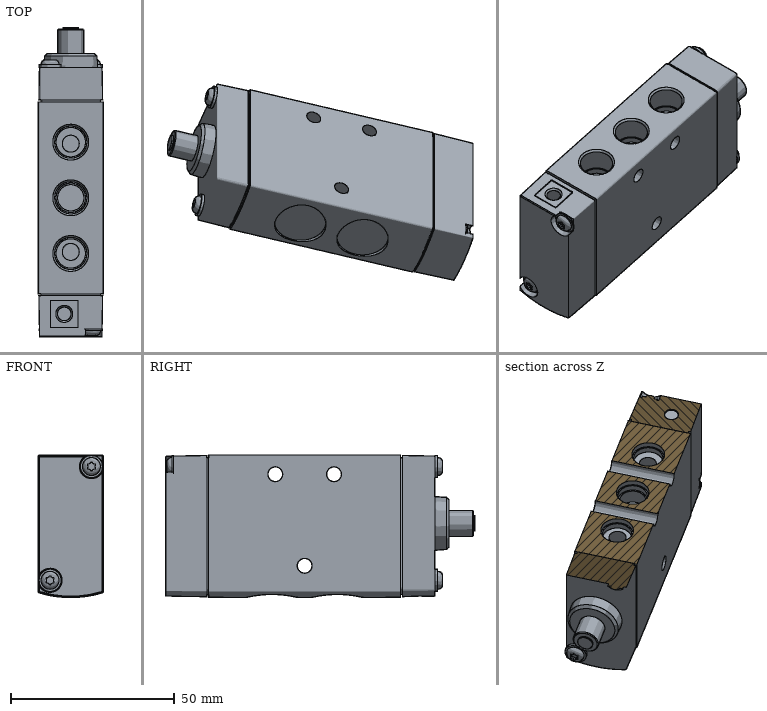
import cadquery as cq
import math

width = 20.0
height = 43.7
belly_sag = 1.5
body_corner = 0.6

front_cap_length = 12.6
joint_gap = 0.6
body_length = 58.7
rear_cap_length = 9.9
body_front = front_cap_length + joint_gap
body_rear = body_front + body_length
rear_cap_base = body_rear + joint_gap
rear_face = rear_cap_base + rear_cap_length
overall_length = 94.6

cap_inset = 0.2
cap_draft = 1.0
cap_edge_break = 0.3
front_cap_corner = 0.4
rear_cap_corner = 0.9
joint_inset = 0.85

port_middle = body_front + body_length / 2
port_pitch = 17.0
port_diameter = 9.8
port_core_diameter = 9.0
port_mouth_diameter = 11.0
port_depth = 7.6
port_core_depth = 9.5
passage_depth = 4.7
outer_passage_diameter = 5.2
middle_passage_diameter = 8.0
passage_shift = 0.5

cross_hole_diameter = 4.4
upper_cross_pitch = 18.0
upper_cross_z = height - 6.0
lower_cross_z = 9.7

spot_face_diameter = 15.7
spot_face_height = 1.4
spot_face_pitch = 20.1

pilot_x = -2.0
pilot_y = 7.0
pilot_pad_side = 8.3
pilot_pad_floor = height - 0.6
pilot_mouth_diameter = 5.2
pilot_diameter = 4.2
pilot_depth = 5.7

screw_x = 6.3
upper_screw_z = height - 3.6
lower_screw_z = 5.3
screw_flange_diameter = 6.8
screw_flange_thickness = 0.5
screw_head_diameter = 5.5
screw_top_diameter = 3.0
screw_height = 2.0
socket_core_diameter = 2.2
socket_lobe_radius = 0.3
socket_lobes = 6
socket_depth = 0.9
screw_pocket_diameter = 7.4
screw_pocket_depth = 2.4
screw_boss_height = 0.4

plunger_z = 22.7
collar_diameter = 16.5
collar_end_diameter = 16.1
collar_foot = 0.6
collar_length = 4.35
collar_chamfer = 0.85
plunger_diameter = 8.0
plunger_tip_diameter = 4.7
plunger_tip_height = 0.5
plunger_chamfer = 0.3


def outline(inset, corner):
    """Flat-topped outline with a bulging underside, offset inwards and with rounded corners."""
    half = width / 2 - inset
    top = height - inset
    side_bottom = belly_sag + inset
    return (
        cq.Sketch()
        .segment((-half, side_bottom), (-half, top))
        .segment((half, top))
        .segment((half, side_bottom))
        .arc((half, side_bottom), (0, inset), (-half, side_bottom))
        .assemble()
        .vertices()
        .fillet(corner)
    )


def facing_front(y):
    """Plane at station y whose normal points to the front (-Y)."""
    return cq.Workplane(cq.Plane(origin=(0, y, 0), xDir=(1, 0, 0), normal=(0, -1, 0)))


def facing_rear(y):
    """Plane at station y whose normal points to the rear (+Y); its local x runs along -X."""
    return cq.Workplane(cq.Plane(origin=(0, y, 0), xDir=(-1, 0, 0), normal=(0, 1, 0)))


def bore_down(x, y, z, diameter, depth):
    """Cylinder of the given depth whose upper end lies at z."""
    return cq.Workplane("XY", origin=(x, y, z - depth)).circle(diameter / 2).extrude(depth)


def countersink_down(x, y, z, mouth_diameter, diameter):
    """45 degree cone that opens a bore of the given diameter to its mouth."""
    depth = (mouth_diameter - diameter) / 2
    mouth = cq.Vector(x, y, z)
    cone = cq.Solid.makeCone(mouth_diameter / 2, diameter / 2, depth, mouth, cq.Vector(0, 0, -1))
    return cq.Workplane(cone)


def make_body():
    """Valve body with top ports, cross holes and spot faces underneath."""
    body = facing_rear(body_front).placeSketch(outline(0, body_corner)).extrude(body_length)

    for side in (-1, 0, 1):
        y = port_middle + side * port_pitch
        passage_diameter = outer_passage_diameter if side else middle_passage_diameter
        passage_y = y - side * passage_shift
        body = body.cut(bore_down(0, y, height, port_diameter, port_depth))
        body = body.cut(countersink_down(0, y, height, port_mouth_diameter, port_diameter))
        body = body.cut(bore_down(0, y, height, port_core_diameter, port_core_depth))
        body = body.cut(bore_down(0, passage_y, height - port_core_depth, passage_diameter, passage_depth))

    cross_places = [
        (port_middle - upper_cross_pitch / 2, upper_cross_z),
        (port_middle + upper_cross_pitch / 2, upper_cross_z),
        (port_middle, lower_cross_z),
    ]
    cross_holes = (
        cq.Workplane("YZ").pushPoints(cross_places).circle(cross_hole_diameter / 2).extrude(width, both=True)
    )
    body = body.cut(cross_holes)

    for side in (-1, 1):
        y = port_middle + side * spot_face_pitch / 2
        body = body.cut(bore_down(0, y, spot_face_height, spot_face_diameter, spot_face_height))
    return body


def screw_places():
    """Screw centres at opposite corners, in the local axes of a cap's end plane."""
    return [(screw_x, upper_screw_z), (-screw_x, lower_screw_z)]


def make_screw(seat):
    """Domed screw head with a flange and a six-lobed socket, standing on the seat workplane."""
    top_radius = screw_top_diameter / 2
    head_radius = screw_head_diameter / 2
    flange_radius = screw_flange_diameter / 2
    dome_height = screw_height - screw_flange_thickness
    bulge = math.sqrt(0.5)
    dome_middle = (
        top_radius + (head_radius - top_radius) * bulge,
        screw_flange_thickness + dome_height * bulge,
    )
    profile = (
        cq.Workplane("XZ")
        .lineTo(flange_radius, 0)
        .lineTo(flange_radius, screw_flange_thickness)
        .lineTo(head_radius, screw_flange_thickness)
        .threePointArc(dome_middle, (top_radius, screw_height))
        .lineTo(0, screw_height)
        .close()
    )
    head = profile.revolve(360, (0, 0, 0), (0, 1, 0))
    socket_plane = cq.Workplane("XY", origin=(0, 0, screw_height - socket_depth))
    core_radius = socket_core_diameter / 2
    head = head.cut(socket_plane.circle(core_radius).extrude(socket_depth))
    lobes = socket_plane.polarArray(core_radius, 90, 360, socket_lobes).circle(socket_lobe_radius)
    head = head.cut(lobes.extrude(socket_depth))
    return cq.Workplane(head.val().moved(cq.Location(seat.plane)))


def make_cap(base, length, corner):
    """Drafted block with a recessed joint lip that reaches back to the body."""
    block = base.placeSketch(outline(cap_inset, corner)).extrude(length, taper=cap_draft)
    lip = base.placeSketch(outline(joint_inset, corner)).extrude(-joint_gap)
    return block.union(lip)


def front_edge_break():
    """Triangular bar that takes off the sharp top edge of the front cap."""
    front_top = height - cap_inset - front_cap_length * math.tan(math.radians(cap_draft))
    overshoot = cap_edge_break
    bar = cq.Workplane("YZ", origin=(-width / 2, 0, 0))
    bar = bar.moveTo(0, front_top - cap_edge_break).lineTo(cap_edge_break + overshoot, front_top + overshoot)
    bar = bar.lineTo(0, front_top + overshoot)
    return bar.close().extrude(width)


def corner_relief():
    """Block that opens the upper screw pocket to the corner of the front cap."""
    relief_width = width / 2 - screw_x
    relief_height = height - upper_screw_z
    relief = facing_front(screw_pocket_depth).center(screw_x, upper_screw_z)
    return relief.rect(relief_width, relief_height, centered=False).extrude(screw_pocket_depth)


def make_front_cap():
    """Front cap with the pilot port and two sunk screws."""
    cap = make_cap(facing_front(front_cap_length), front_cap_length, front_cap_corner)
    cap = cap.cut(front_edge_break())

    pad = cq.Workplane("XY", origin=(pilot_x, pilot_y, pilot_pad_floor))
    cap = cap.cut(pad.rect(pilot_pad_side, pilot_pad_side).extrude(height - pilot_pad_floor))
    cap = cap.cut(bore_down(pilot_x, pilot_y, pilot_pad_floor, pilot_diameter, pilot_depth))
    cap = cap.cut(countersink_down(pilot_x, pilot_y, pilot_pad_floor, pilot_mouth_diameter, pilot_diameter))

    cap = cap.cut(corner_relief())
    for place in screw_places():
        seat = facing_front(screw_pocket_depth).center(*place)
        cap = cap.cut(seat.circle(screw_pocket_diameter / 2).extrude(screw_pocket_depth))
        cap = cap.union(make_screw(seat))
    return cap


def make_collar():
    """Slightly conical guide collar on a cylindrical foot, chamfered at its free end."""
    foot_radius = collar_diameter / 2
    end_radius = collar_end_diameter / 2
    profile = (
        cq.Workplane("XY")
        .lineTo(foot_radius, 0)
        .lineTo(foot_radius, collar_foot)
        .lineTo(end_radius, collar_length - collar_chamfer)
        .lineTo(end_radius - collar_chamfer, collar_length)
        .lineTo(0, collar_length)
        .close()
    )
    collar = profile.revolve(360, (0, 0, 0), (0, 1, 0))
    return collar.translate((0, rear_face, plunger_z))


def make_rear_cap():
    """Rear cap with two raised screws and the bored guide collar."""
    cap = make_cap(facing_rear(rear_cap_base), rear_cap_length, rear_cap_corner)
    cap = cap.faces(">Y").edges().fillet(cap_edge_break)
    for place in screw_places():
        boss_base = facing_rear(rear_face).center(*place)
        cap = cap.union(boss_base.circle(screw_flange_diameter / 2).extrude(screw_boss_height))
        cap = cap.union(make_screw(facing_rear(rear_face + screw_boss_height).center(*place)))

    collar_seat = facing_rear(rear_face).center(0, plunger_z)
    bore = collar_seat.circle(plunger_diameter / 2).extrude(collar_length)
    return cap.union(make_collar()).cut(bore)


def make_plunger():
    """Pin seated in the collar, with a chamfered end and a raised tip."""
    seat = facing_rear(rear_face).center(0, plunger_z)
    stem_length = overall_length - rear_face - plunger_tip_height
    stem = seat.circle(plunger_diameter / 2).extrude(stem_length).faces(">Y").chamfer(plunger_chamfer)
    tip = seat.circle(plunger_tip_diameter / 2).extrude(stem_length + plunger_tip_height)
    return stem.union(tip)


body = make_body()
front_cap = make_front_cap()
rear_cap = make_rear_cap()
plunger = make_plunger()

result = cq.Compound.makeCompound([
    body.solids().val(),
    front_cap.solids().val(),
    rear_cap.solids().val(),
    plunger.solids().val(),
])